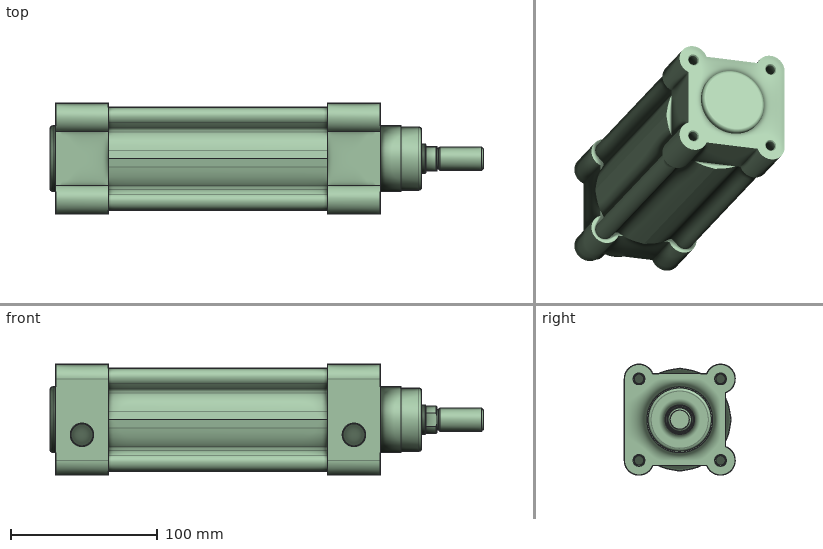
import cadquery as cq
import math

CAP_LENGTH = 36.0
BARREL_LENGTH = 149.2
REAR_CAP_START = 3.8
BARREL_START = REAR_CAP_START + CAP_LENGTH
FRONT_CAP_START = BARREL_START + BARREL_LENGTH
FRONT_CAP_END = FRONT_CAP_START + CAP_LENGTH

COLUMN_OFFSET = 27.8
LOBE_RADIUS = 10.0
BLOCK_HALF_WIDTH = 31.3
PORT_FACE = COLUMN_OFFSET + LOBE_RADIUS
MOUNTING_HOLE_DIAMETER = 6.5
MOUNTING_HOLE_CHAMFER = 0.75

PORT_DIAMETER = 15.0
PORT_CHAMFER = 0.45
PORT_DEPTH = 14.8
PORT_HEIGHT = -10.3

COLLAR_RADIUS = 22.5
COLLAR_FILLET = 2.5
NOSE_RADIUS = 21.5
NOSE_STEP = 239.0
NOSE_END = 253.2
NOSE_FILLET = 2.0

BARREL_RADIUS = 34.5
FLAT_HALF_WIDTH = 5.5
RIB_CENTRE = 29.0
RIB_RADIUS = 6.2
RIB_FILLET = 2.0

ROD_RADIUS = 10.0
FLATS_RADIUS = 9.5
ACROSS_FLATS = 16.5
FLATS_START = 256.0
FLATS_END = 263.8
NECK_RADIUS = 7.0
THREAD_START = 264.7
THREAD_RADIUS = 8.0
ROD_END = 295.5
FLATS_CHAMFER = 1.0
THREAD_START_CHAMFER = 1.0
THREAD_END_CHAMFER = 1.5

CORNERS = [(y, z) for y in (-1, 1) for z in (-1, 1)]


def cylinder_along_x(start, end, radius):
    return cq.Workplane("YZ", origin=(start, 0, 0)).circle(radius).extrude(end - start)


def cap_block(start, outer_face):
    """Cap with its corner lobes, mounting holes chamfered at the outer face, and air port."""
    plane = cq.Workplane("YZ", origin=(start, 0, 0))
    lobe_centres = [(y * COLUMN_OFFSET, z * COLUMN_OFFSET) for y, z in CORNERS]
    block = plane.rect(2 * BLOCK_HALF_WIDTH, 2 * BLOCK_HALF_WIDTH).extrude(CAP_LENGTH)
    port_pad = plane.center(-PORT_FACE / 2, 0).rect(PORT_FACE, 2 * COLUMN_OFFSET).extrude(CAP_LENGTH)
    lobes = plane.pushPoints(lobe_centres).circle(LOBE_RADIUS).extrude(CAP_LENGTH)
    block = block.union(port_pad).union(lobes)

    holes = plane.pushPoints(lobe_centres).circle(MOUNTING_HOLE_DIAMETER / 2).extrude(CAP_LENGTH)
    block = block.cut(holes)
    hole_rims = block.faces(outer_face).edges("%CIRCLE").edges(cq.selectors.RadiusNthSelector(0))
    block = hole_rims.chamfer(MOUNTING_HOLE_CHAMFER)

    port = (
        cq.Workplane("XZ", origin=(start + CAP_LENGTH / 2, -PORT_FACE, PORT_HEIGHT))
        .circle(PORT_DIAMETER / 2)
        .extrude(-PORT_DEPTH)
    )
    return block.cut(port).faces("<Y").edges("%CIRCLE").chamfer(PORT_CHAMFER)


def make_rear_cap():
    collar = cylinder_along_x(0, REAR_CAP_START, COLLAR_RADIUS).faces("<X").edges().fillet(COLLAR_FILLET)
    return cap_block(REAR_CAP_START, "<X").union(collar)


def make_front_cap():
    collar = cylinder_along_x(FRONT_CAP_END, NOSE_STEP, COLLAR_RADIUS)
    nose = cylinder_along_x(NOSE_STEP, NOSE_END, NOSE_RADIUS).faces(">X").edges().fillet(NOSE_FILLET)
    rod_bore = cylinder_along_x(FRONT_CAP_START, NOSE_END, ROD_RADIUS)
    return cap_block(FRONT_CAP_START, ">X").union(collar).union(nose).cut(rod_bore)


def make_barrel():
    flat_angle = math.asin(FLAT_HALF_WIDTH / BARREL_RADIUS)
    ridge = BARREL_RADIUS / math.cos(flat_angle)

    def on_body(angle):
        return (BARREL_RADIUS * math.cos(angle), BARREL_RADIUS * math.sin(angle))

    outline = cq.Workplane("YZ", origin=(BARREL_START, 0, 0)).moveTo(ridge, 0)
    for quarter in range(4):
        side = quarter * math.pi / 2
        next_side = side + math.pi / 2
        outline = outline.lineTo(*on_body(side + flat_angle))
        outline = outline.threePointArc(on_body(side + math.pi / 4), on_body(next_side - flat_angle))
        if quarter < 3:
            outline = outline.lineTo(ridge * math.cos(next_side), ridge * math.sin(next_side))
    barrel = outline.close().extrude(BARREL_LENGTH)

    rib_reach = RIB_CENTRE * math.sqrt(2)
    rib = (
        cq.Workplane("YZ", origin=(BARREL_START, 0, 0))
        .slot2D(2 * (rib_reach + RIB_RADIUS), 2 * RIB_RADIUS)
        .extrude(BARREL_LENGTH)
    )
    for angle in (45, 135):
        barrel = barrel.union(rib.rotate((0, 0, 0), (1, 0, 0), angle))

    root_offset = math.asin(RIB_RADIUS / BARREL_RADIUS)
    middle = BARREL_START + BARREL_LENGTH / 2
    for quarter in range(4):
        for side in (-1, 1):
            y, z = on_body(math.pi / 4 + quarter * math.pi / 2 + side * root_offset)
            root = cq.selectors.NearestToPointSelector((middle, y, z))
            barrel = barrel.edges("|X").edges(root).fillet(RIB_FILLET)
    return barrel


def make_rod():
    """Rod with a pair of wrench flats, an undercut neck and a plain cylinder for the thread."""
    shank = cylinder_along_x(FRONT_CAP_START, FLATS_START, ROD_RADIUS)
    shank = shank.faces(">X").edges().chamfer(ROD_RADIUS - FLATS_RADIUS)

    flats = cylinder_along_x(FLATS_START, FLATS_END, FLATS_RADIUS).faces(">X").edges().chamfer(FLATS_CHAMFER)
    wrench_slab = (
        cq.Workplane("YZ", origin=(FLATS_START, 0, 0))
        .rect(ACROSS_FLATS, 2 * FLATS_RADIUS)
        .extrude(FLATS_END - FLATS_START)
    )

    neck = cylinder_along_x(FLATS_END, THREAD_START, NECK_RADIUS)

    thread = cylinder_along_x(THREAD_START, ROD_END, THREAD_RADIUS)
    thread = thread.faces("<X").edges().chamfer(THREAD_START_CHAMFER)
    thread = thread.faces(">X").edges().chamfer(THREAD_END_CHAMFER)

    return shank.union(flats.intersect(wrench_slab)).union(neck).union(thread)


rear_cap = make_rear_cap()
barrel = make_barrel()
front_cap = make_front_cap()
rod = make_rod()

result = cq.Compound.makeCompound([rear_cap.val(), barrel.val(), front_cap.val(), rod.val()])